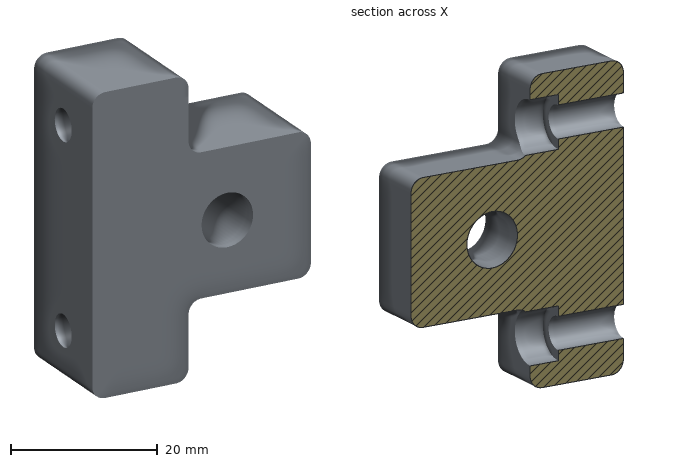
import cadquery as cq

width = 16.5
height = 45.0
depth = 34.0
flange_thickness = 15.0
stem_height = 21.5
edge_radius = 2.0

cross_hole_diameter = 8.0
cross_hole_y = 21.0

screw_hole_diameter = 4.8
screw_spacing = 30.25
counterbore_diameter = 7.8
counterbore_depth = 4.5

stem_length = depth - flange_thickness
mid_height = height / 2


def make_body():
    """T-shaped block with all edges along X rounded, centred on X = 0."""
    flange = cq.Workplane("XY").box(width, flange_thickness, height, centered=(True, False, False))
    stem = (
        cq.Workplane("XY")
        .box(width, stem_length, stem_height, centered=(True, False, True))
        .translate((0, flange_thickness, mid_height))
    )
    return flange.union(stem).edges("|X").fillet(edge_radius)


def cylinder_along_y(diameter, start_y, length, z):
    """Cylinder on X = 0 running from start_y in the +Y direction."""
    return cq.Workplane(cq.Solid.makeCylinder(
        diameter / 2, length, cq.Vector(0, start_y, z), cq.Vector(0, 1, 0)))


def make_cross_hole():
    """Hole through the stem along the full width."""
    return cq.Workplane(cq.Solid.makeCylinder(
        cross_hole_diameter / 2, width, cq.Vector(-width / 2, cross_hole_y, mid_height), cq.Vector(1, 0, 0)))


def make_screw_hole(z):
    """Through hole counterbored from the back; the bore also clears the inner fillet."""
    shank = cylinder_along_y(screw_hole_diameter, 0, flange_thickness, z)
    head = cylinder_along_y(
        counterbore_diameter, flange_thickness - counterbore_depth, counterbore_depth + edge_radius, z)
    return shank.union(head)


result = make_body().cut(make_cross_hole())
for side in (-1, 1):
    result = result.cut(make_screw_hole(mid_height + side * screw_spacing / 2))